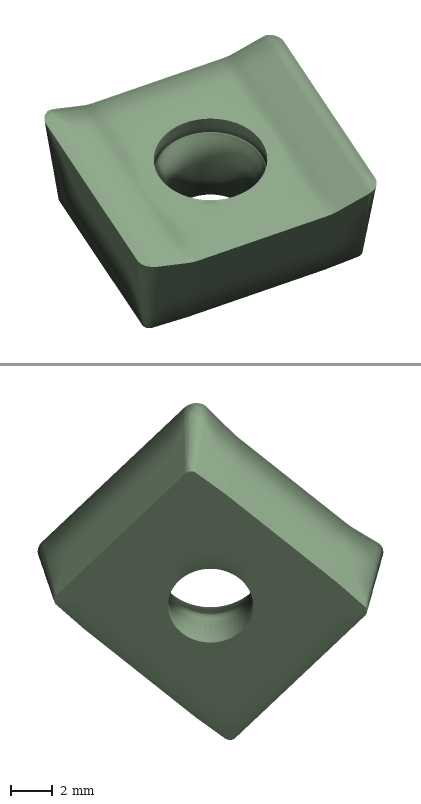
import cadquery as cq
import math

LENGTH_X = 11.7
LENGTH_Y = 12.7
HEIGHT = 5.14

FLOOR_Z = 4.55
RAKE_START_Y = 3.73
RAKE_ANGLE = 16.0
FLOOR_BLEND_RADIUS = 1.8
LAND_BLEND_RADIUS = 1.02

FLANK_X_ANGLE = 9.8
FLANK_Y_ANGLE = 5.5
FLANK_BEND_Y = 3.66
FLANK_BLEND_RADIUS = 3.05
TOP_CORNER_RADIUS = 0.8
BOTTOM_CORNER_RADIUS = 0.37

BORE_DIAMETER = 4.1
COUNTERBORE_DIAMETER = 5.46
COUNTERBORE_DEPTH = 0.91
SEAT_DIAMETER = 5.31
SEAT_END_DEPTH = 2.24

MATCH_TOLERANCE = 0.01

RAKE_SLOPE = math.tan(math.radians(RAKE_ANGLE))
FLANK_X_SLOPE = math.tan(math.radians(FLANK_X_ANGLE))
FLANK_Y_SLOPE = math.tan(math.radians(FLANK_Y_ANGLE))
LAND_START_Y = RAKE_START_Y + (HEIGHT - FLOOR_Z) / RAKE_SLOPE


def flank_section(z, corner_radius):
    """Plan outline at height z: each X side is bent twice, all corners rounded."""
    half_y = LENGTH_Y / 2 - FLANK_Y_SLOPE * (HEIGHT - z)
    middle_x = LENGTH_X / 2 - FLANK_X_SLOPE * (FLOOR_Z - z)
    land_x = LENGTH_X / 2 - FLANK_X_SLOPE * (HEIGHT - z)
    side_slope = (middle_x - land_x) / (LAND_START_Y - FLANK_BEND_Y)
    corner_x = middle_x - side_slope * (half_y - FLANK_BEND_Y)
    outline = [
        (corner_x, -half_y),
        (middle_x, -FLANK_BEND_Y),
        (middle_x, FLANK_BEND_Y),
        (corner_x, half_y),
        (-corner_x, half_y),
        (-middle_x, FLANK_BEND_Y),
        (-middle_x, -FLANK_BEND_Y),
        (-corner_x, -half_y),
    ]
    wire = cq.Wire.makePolygon([cq.Vector(x, y, z) for x, y in outline], close=True)
    bends = [v for v in wire.Vertices() if abs(v.Y) < FLANK_BEND_Y + MATCH_TOLERANCE]
    wire = wire.fillet2D(FLANK_BLEND_RADIUS, bends)
    corners = [v for v in wire.Vertices() if abs(v.Y) > half_y - MATCH_TOLERANCE]
    return wire.fillet2D(corner_radius, corners)


def make_body():
    sections = [flank_section(0, BOTTOM_CORNER_RADIUS), flank_section(HEIGHT, TOP_CORNER_RADIUS)]
    return cq.Workplane(cq.Solid.makeLoft(sections, ruled=True))


def make_top_envelope():
    """Space below the top surface, constant along X."""
    half_y = LENGTH_Y / 2
    profile = [
        (-half_y, 0),
        (half_y, 0),
        (half_y, HEIGHT),
        (LAND_START_Y, HEIGHT),
        (RAKE_START_Y, FLOOR_Z),
        (-RAKE_START_Y, FLOOR_Z),
        (-LAND_START_Y, HEIGHT),
        (-half_y, HEIGHT),
    ]
    envelope = cq.Workplane("YZ").polyline(profile).close().extrude(LENGTH_X, both=True)
    for bend_y, bend_z, radius in (
        (RAKE_START_Y, FLOOR_Z, FLOOR_BLEND_RADIUS),
        (LAND_START_Y, HEIGHT, LAND_BLEND_RADIUS),
    ):
        for side in (-1, 1):
            nearest = cq.selectors.NearestToPointSelector((0, side * bend_y, bend_z))
            envelope = envelope.edges("|X").edges(nearest).fillet(radius)
    return envelope


def make_hole():
    """Counterbore, curved screw seat and through bore as one revolved cutter."""
    bore_radius = BORE_DIAMETER / 2
    seat_radius = SEAT_DIAMETER / 2
    counterbore_radius = COUNTERBORE_DIAMETER / 2
    ledge_z = FLOOR_Z - COUNTERBORE_DEPTH
    seat_end_z = FLOOR_Z - SEAT_END_DEPTH
    return (
        cq.Workplane("XZ")
        .lineTo(bore_radius, 0)
        .lineTo(bore_radius, seat_end_z)
        .tangentArcPoint((seat_radius, ledge_z), relative=False)
        .lineTo(counterbore_radius, ledge_z)
        .lineTo(counterbore_radius, HEIGHT)
        .lineTo(0, HEIGHT)
        .close()
        .revolve(360, (0, 0, 0), (0, 1, 0))
    )


result = make_body().intersect(make_top_envelope()).cut(make_hole())